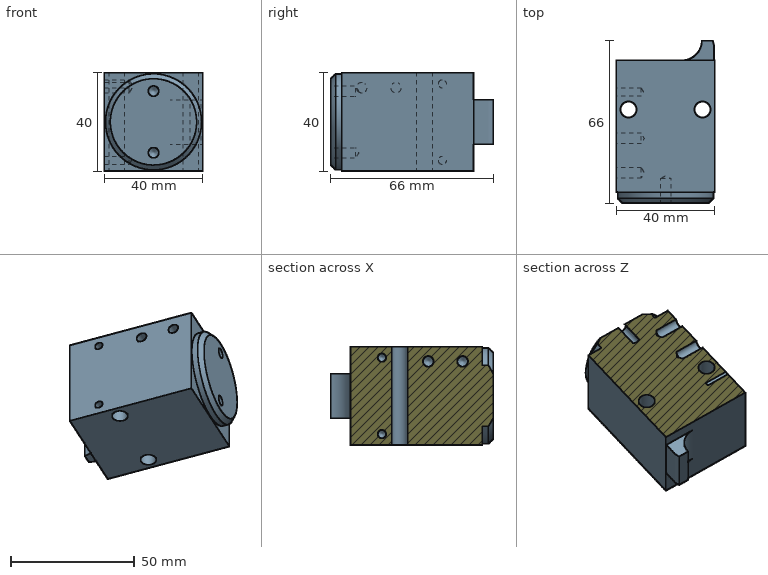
import cadquery as cq
import math

total_length = 66.0
cap_length = 4.5
lug_length = 8.0
block_length = total_length - cap_length - lug_length

block_side = 40.0
half_side = block_side / 2

cap_diameter = 39.0
cap_chamfer = 2.0

lug_height = 18.15
lug_edge_inset = 0.25
lug_tip_thickness = 4.5
lug_lead_in_width = 0.5
lug_lead_in_length = 2.0
lug_flank_radius = lug_length

through_diameter = 6.4
through_spacing = 30.0
through_from_rear = 20.0

drill_point_angle = 118.0
blind_depth = 10.0
large_diameter = 4.2
small_diameter = 3.3
cap_hole_spacing = 25.0
small_hole_spacing = 31.0
small_from_rear = 12.8
large_hole_height = 14.0
large_from_front = (8.0, 21.9)


def make_block():
    return cq.Workplane("XY").box(block_side, block_length, block_side, centered=(True, False, True))


def make_cap():
    cap = cq.Workplane("XZ").circle(cap_diameter / 2).extrude(cap_length)
    return cap.faces("<Y").chamfer(cap_chamfer)


def make_lug():
    base_y = block_length
    tip_y = base_y + lug_length
    outer_x = half_side - lug_edge_inset
    tip_outer_x = outer_x - lug_lead_in_width
    tip_inner_x = tip_outer_x - lug_tip_thickness
    arc_center_x = tip_inner_x - lug_flank_radius
    arc_reach = lug_flank_radius * math.sqrt(0.5)
    arc_middle = (arc_center_x + arc_reach, tip_y - arc_reach)
    outline = (
        cq.Workplane("XY")
        .moveTo(outer_x, base_y)
        .lineTo(outer_x, tip_y - lug_lead_in_length)
        .lineTo(tip_outer_x, tip_y)
        .lineTo(tip_inner_x, tip_y)
        .threePointArc(arc_middle, (arc_center_x, base_y))
    )
    return outline.close().extrude(lug_height / 2, both=True)


def drilled_hole(diameter, mouth, direction):
    """Blind hole with a conical bottom, cut from its mouth along the given direction."""
    radius = diameter / 2
    point_length = radius / math.tan(math.radians(drill_point_angle / 2))
    shaft = cq.Solid.makeCylinder(radius, blind_depth, mouth, direction)
    point = cq.Solid.makeCone(radius, 0, point_length, mouth + direction * blind_depth, direction)
    return shaft.fuse(point)


result = make_block().union(make_cap()).union(make_lug())

through_holes = (
    cq.Workplane("XY")
    .pushPoints([(side * through_spacing / 2, block_length - through_from_rear) for side in (-1, 1)])
    .circle(through_diameter / 2)
    .extrude(half_side, both=True)
)
result = result.cut(through_holes)

inward_y = cq.Vector(0, 1, 0)
inward_x = cq.Vector(1, 0, 0)
for side in (-1, 1):
    cap_mouth = cq.Vector(0, -cap_length, side * cap_hole_spacing / 2)
    result = result.cut(cq.Workplane(drilled_hole(large_diameter, cap_mouth, inward_y)))
    small_mouth = cq.Vector(-half_side, block_length - small_from_rear, side * small_hole_spacing / 2)
    result = result.cut(cq.Workplane(drilled_hole(small_diameter, small_mouth, inward_x)))

for distance in large_from_front:
    large_mouth = cq.Vector(-half_side, distance, large_hole_height)
    result = result.cut(cq.Workplane(drilled_hole(large_diameter, large_mouth, inward_x)))